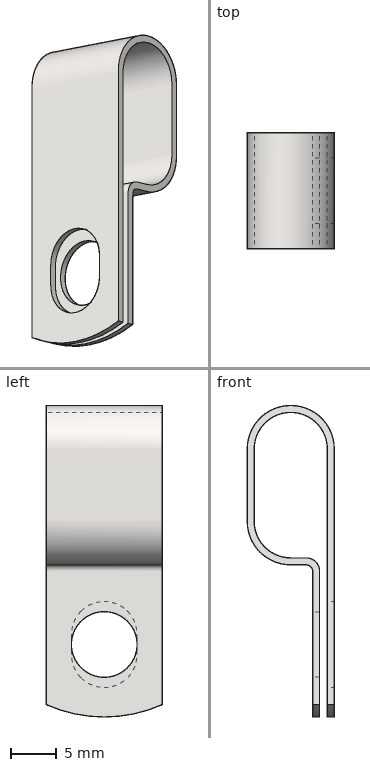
import cadquery as cq
import math

height = 34.05
strap_width = 12.7
clip_depth = 9.55

thickness = 0.8
leg_gap = 0.82
loop_radius = clip_depth / 2
loop_straight = 7.9
bend_inner_radius = 0.68

hole_diameter = 7.15
hole_height = 7.95
slot_length = 9.4
end_arc_rise = 1.35

upper_center_z = height - loop_radius
lower_center_z = upper_center_z - loop_straight
loop_bottom_z = lower_center_z - loop_radius
inner_radius = loop_radius - thickness
bend_outer_radius = bend_inner_radius + thickness
front_leg_inside_x = inner_radius - leg_gap
front_leg_outside_x = front_leg_inside_x - thickness
bend_center_x = front_leg_outside_x - bend_inner_radius
bend_center_z = loop_bottom_z - bend_inner_radius


def arc_point(center_x, center_z, radius, angle):
    """Point on a circle in the XZ plane, angle in degrees from +X toward +Z."""
    turn = math.radians(angle)
    return (center_x + radius * math.cos(turn), center_z + radius * math.sin(turn))


def make_strip():
    """Bent strip: long back leg, loop, then short front leg."""
    return (
        cq.Workplane("XZ")
        .moveTo(loop_radius, 0)
        .lineTo(loop_radius, upper_center_z)
        .threePointArc((0, height), (-loop_radius, upper_center_z))
        .lineTo(-loop_radius, lower_center_z)
        .threePointArc(arc_point(0, lower_center_z, loop_radius, 225), (0, loop_bottom_z))
        .lineTo(bend_center_x, loop_bottom_z)
        .threePointArc(
            arc_point(bend_center_x, bend_center_z, bend_inner_radius, 45),
            (front_leg_outside_x, bend_center_z),
        )
        .lineTo(front_leg_outside_x, 0)
        .lineTo(front_leg_inside_x, 0)
        .lineTo(front_leg_inside_x, bend_center_z)
        .threePointArc(
            arc_point(bend_center_x, bend_center_z, bend_outer_radius, 45),
            (bend_center_x, loop_bottom_z + thickness),
        )
        .lineTo(0, loop_bottom_z + thickness)
        .threePointArc(
            arc_point(0, lower_center_z, inner_radius, 225),
            (-inner_radius, lower_center_z),
        )
        .lineTo(-inner_radius, upper_center_z)
        .threePointArc((0, upper_center_z + inner_radius), (inner_radius, upper_center_z))
        .lineTo(inner_radius, 0)
        .close()
        .extrude(strap_width / 2, both=True)
    )


def make_end_envelope():
    """Side outline with the rounded lower end, through the full depth."""
    half_width = strap_width / 2
    return (
        cq.Workplane("YZ")
        .moveTo(-half_width, height)
        .lineTo(-half_width, end_arc_rise)
        .threePointArc((0, 0), (half_width, end_arc_rise))
        .lineTo(half_width, height)
        .close()
        .extrude(loop_radius, both=True)
    )


def make_front_hole():
    """Round screw hole through the front leg."""
    return (
        cq.Workplane("YZ")
        .workplane(offset=front_leg_outside_x)
        .center(0, hole_height)
        .circle(hole_diameter / 2)
        .extrude(thickness)
    )


def make_back_slot():
    """Upright slot through the back leg, as wide as the round hole."""
    return (
        cq.Workplane("YZ")
        .workplane(offset=inner_radius)
        .center(0, hole_height)
        .slot2D(slot_length, hole_diameter, 90)
        .extrude(thickness)
    )


result = (
    make_strip()
    .intersect(make_end_envelope())
    .cut(make_front_hole())
    .cut(make_back_slot())
)